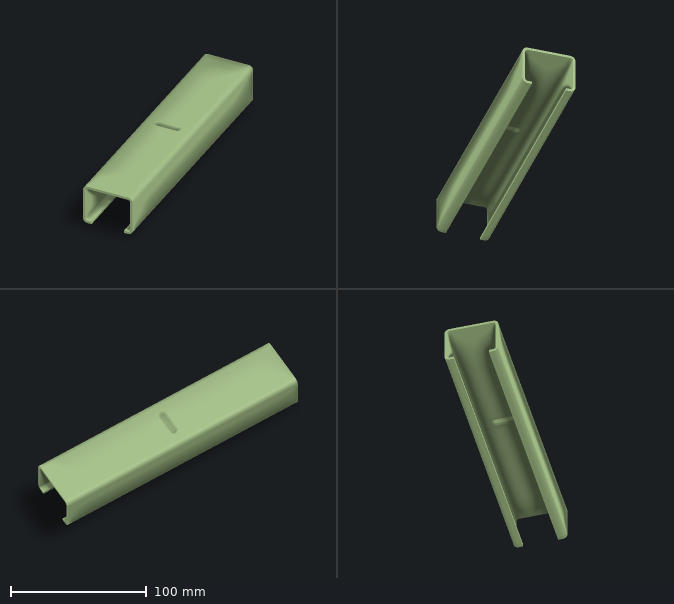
import cadquery as cq
import math

length = 200.0
width = 41.0
height = 32.0
wall = 2.0
bend_radius = 4.0
lip_width = 7.2

dimple_spacing = 15.2
rim_radius = 3.5
floor_radius = 1.1
dimple_depth = 1.7
floor_edge_radius = 1.0
wall_lean = math.degrees(math.atan2(rim_radius - floor_radius, dimple_depth))


def rounded_bar(bar_width, bar_height, radius):
    """Bar along Y, centred on the origin, with rounded long edges."""
    bar = cq.Workplane("XY").box(bar_width, length, bar_height)
    return bar.edges("|Y").fillet(radius)


def make_channel():
    outside = rounded_bar(width, height, bend_radius)
    inside = rounded_bar(width - 2 * wall, height - 2 * wall, bend_radius - wall)
    mouth = cq.Workplane("XY").box(width - 2 * lip_width, length, height / 2)
    mouth = mouth.translate((0, 0, -height / 2))
    return outside.cut(inside).cut(mouth)


def dimple_body(sheet_z):
    """Slot-shaped body below sheet_z, with leaning walls and a rounded floor edge."""
    floor_length = dimple_spacing + 2 * floor_radius
    body = (
        cq.Workplane("XY")
        .workplane(offset=sheet_z - dimple_depth)
        .slot2D(floor_length, 2 * floor_radius)
        .extrude(dimple_depth, taper=-wall_lean)
    )
    return body.faces("<Z").edges().fillet(floor_edge_radius)


web_top = height / 2
hollow = dimple_body(web_top)
underside = dimple_body(web_top - wall)

result = make_channel().union(underside).cut(hollow)